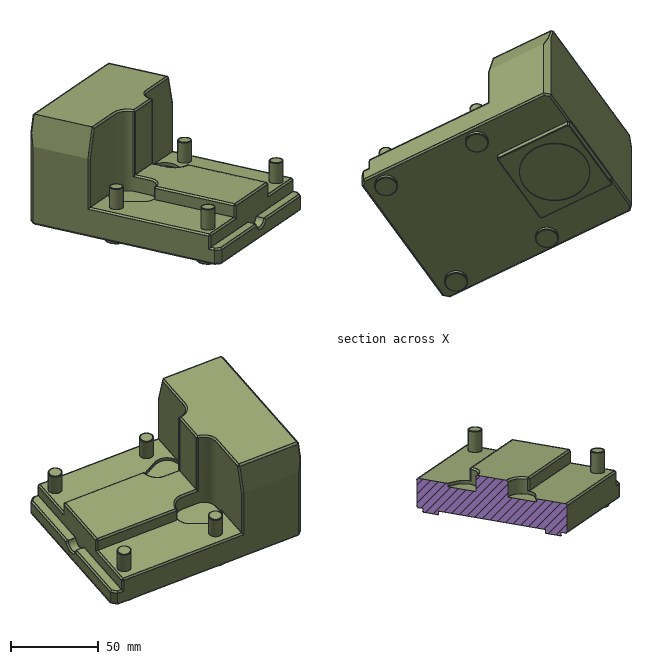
import cadquery as cq
import math

length = 125.0
width = 96.0
body_height = 66.0
edge_chamfer = 1.0
corner_chamfer = 3.0

wall_x = 40.0
nose_x = 48.0
shelf_end_x = 119.0
ledge_z = 10.0
shelf_z = 18.0
land_z = 26.0
land_width = 38.0

shoulder_height = 18.0
shoulder_angle = 15.0

pocket_radius = 8.0
pocket_inner_y = 10.4
pocket_straight = 9.5
pocket_offset = 5.1
pocket_depth = 2.0

groove_diameter = 10.0
groove_centre_z = 11.4

pin_xs = (52.5, 112.5)
pin_y = 39.0
pin_diameter = 8.0
pin_height = 12.8
pin_tip_chamfer = 0.4
foot_diameter = 13.0
foot_height = 2.2
foot_chamfer = 0.4

plate_start_x = 0.5
plate_width = 49.0
plate_thickness = 3.5
plate_corner_chamfer = 0.9
plate_edge_chamfer = 0.4
key_width = 45.8
key_height = 1.8
disc_diameter = 40.0
disc_height = 0.5

half_width = width / 2
shoulder_inset = shoulder_height * math.tan(math.radians(shoulder_angle))
tolerance = 0.01


def block(x_start, x_end, y_size, z_start, z_end):
    """Box between the given X and Z limits, centred on Y = 0."""
    size = (x_end - x_start, y_size, z_end - z_start)
    return cq.Workplane("XY").box(*size, centered=(False, True, False)).translate((x_start, 0, z_start))


def stepped_body():
    """Tall block with its nose, the raised land, the shelf and the front ledge."""
    body = block(0, length, width, 0, ledge_z)
    body = body.union(block(0, shelf_end_x, width, 0, shelf_z))
    body = body.union(block(0, shelf_end_x, land_width, 0, land_z))
    body = body.union(block(0, wall_x, width, 0, body_height))
    return body.union(block(0, nose_x, land_width, 0, body_height))


def shoulder_cut(side):
    """Wedge that slopes the top of the block on one side (+1 or -1)."""
    return (
        cq.Workplane("YZ")
        .moveTo(side * half_width, body_height - shoulder_height)
        .lineTo(side * half_width, body_height)
        .lineTo(side * (half_width - shoulder_inset), body_height)
        .close()
        .extrude(nose_x)
    )


def pocket(side, z_start, z_end):
    """Relief prism: outline tangent to three equal circles, beside the nose on one side (+1 or -1)."""
    r = pocket_radius
    near_x = wall_x + r
    far_x = near_x + pocket_straight
    inner_y = pocket_inner_y + r
    outer_y = inner_y + pocket_offset
    slope = math.atan2(pocket_offset, pocket_straight)

    def on_circle(x, y, angle):
        return (x + r * math.cos(angle), side * (y + r * math.sin(angle)))

    slant = math.pi / 2 - slope
    middle_of_far_arc = (slant - math.pi / 2) / 2
    middle_of_outer_arc = (slant + math.pi) / 2
    return (
        cq.Workplane("XY", origin=(0, 0, z_start))
        .moveTo(near_x, side * pocket_inner_y)
        .lineTo(far_x, side * pocket_inner_y)
        .threePointArc(on_circle(far_x, inner_y, middle_of_far_arc), on_circle(far_x, inner_y, slant))
        .lineTo(*on_circle(near_x, outer_y, slant))
        .threePointArc(on_circle(near_x, outer_y, middle_of_outer_arc), (wall_x, side * outer_y))
        .lineTo(wall_x, side * inner_y)
        .threePointArc(on_circle(near_x, inner_y, 1.25 * math.pi), (near_x, side * pocket_inner_y))
        .close()
        .extrude(z_end - z_start)
    )


def groove_cut():
    """Round groove that runs along X over the ledge."""
    return (
        cq.Workplane("YZ", origin=(shelf_end_x, 0, groove_centre_z))
        .circle(groove_diameter / 2)
        .extrude(length - shelf_end_x)
    )


def is_at(value, target):
    return abs(value - target) < tolerance


def is_bottom_rim(x, y, z):
    return is_at(z, 0)


def is_block_rim(x, y, z):
    """Top edges of the block, without the ridge of the -Y shoulder, and its two sloping rear edges."""
    ridge_y = half_width - shoulder_inset
    on_ridge = is_at(y, -ridge_y) and x < wall_x - tolerance
    on_slope = is_at(x, 0) and z > body_height - shoulder_height and not is_at(z, body_height)
    on_top = is_at(z, body_height) and not on_ridge
    return on_slope or on_top


def is_side_step(x, y, z):
    """Edges of the wall, the shelf and its end along the two sides, and the shelf's front edge."""
    on_side = is_at(abs(y), half_width)
    on_wall = is_at(x, wall_x) and abs(y) > half_width - shoulder_inset and z > shelf_z + tolerance
    on_shelf = is_at(z, shelf_z) and (on_side or is_at(x, shelf_end_x))
    on_shelf_end = is_at(x, shelf_end_x) and on_side
    return on_wall or on_shelf or on_shelf_end


def is_land_rim(x, y, z):
    """Top edges of the land and its upright corners at the front and beside the pockets."""
    on_top = is_at(z, land_z) and x > nose_x + tolerance
    on_corner = is_at(abs(y), land_width / 2) and shelf_z + tolerance < z < land_z - tolerance
    return on_top or on_corner


def is_ledge_rim(x, y, z):
    """Outer edges of the ledge, and the front edge of its groove."""
    on_outline = abs(y) > half_width - corner_chamfer or is_at(x, length)
    on_top = is_at(z, ledge_z) and x > shelf_end_x + tolerance and on_outline
    on_groove = is_at(x, length) and is_at(y, 0) and z > tolerance
    return on_top or on_groove


def is_chamfered(edge):
    """True for the edges of the body that carry the small chamfer, judged by their middle."""
    middle = edge.Center().toTuple()
    rules = (is_bottom_rim, is_block_rim, is_side_step, is_land_rim, is_ledge_rim)
    return any(rule(*middle) for rule in rules)


def nose_corner_cut(side):
    """Flared prism that bevels one upright corner of the nose and mitres into the bevel of the land."""
    run = pocket_straight / 2
    rise = body_height - land_z + edge_chamfer
    flare = (
        cq.Workplane("XZ", origin=(nose_x, pocket_inner_y - edge_chamfer, land_z))
        .rect(run, rise, centered=False)
        .workplane(offset=-edge_chamfer)
        .center(-edge_chamfer, -edge_chamfer)
        .rect(run + edge_chamfer, rise + edge_chamfer, centered=False)
        .loft(ruled=True)
    )
    return flare if side > 0 else flare.mirror("XZ")


def pin_and_foot(x, y):
    """Guide pin on the shelf and the round foot under it."""
    pin = (
        cq.Workplane("XY", origin=(x, y, shelf_z))
        .circle(pin_diameter / 2)
        .extrude(pin_height)
        .faces(">Z")
        .chamfer(pin_tip_chamfer)
    )
    foot = (
        cq.Workplane("XY", origin=(x, y, 0))
        .circle(foot_diameter / 2)
        .extrude(-foot_height)
        .faces("<Z")
        .chamfer(foot_chamfer)
    )
    return pin, foot


def base_plate():
    """Plate with bevelled corners, the key above it and the thin disc below it."""
    plate = block(plate_start_x, nose_x, plate_width, -plate_thickness, 0)
    plate = plate.edges("|Z").chamfer(plate_corner_chamfer)
    plate = plate.faces("<Z").chamfer(plate_edge_chamfer)
    key = block(plate_start_x, nose_x, key_width, 0, key_height)
    disc = (
        cq.Workplane("XY", origin=((plate_start_x + nose_x) / 2, 0, -plate_thickness))
        .circle(disc_diameter / 2)
        .extrude(-disc_height)
    )
    return plate.union(key).union(disc)


body = stepped_body()
for side in (1, -1):
    body = body.cut(pocket(side, shelf_z, body_height))
    body = body.cut(shoulder_cut(side))
body = body.edges("(<X or >X) and |Z").chamfer(corner_chamfer)
body = body.cut(groove_cut())

body = body.newObject([edge for edge in body.edges().vals() if is_chamfered(edge)]).chamfer(edge_chamfer)
for side in (1, -1):
    body = body.cut(nose_corner_cut(side))

for side in (1, -1):
    body = body.cut(pocket(side, shelf_z - pocket_depth, shelf_z))
body = body.cut(block(0, plate_start_x, key_width, 0, key_height))

result = body.union(base_plate())
for x in pin_xs:
    for y in (pin_y, -pin_y):
        pin, foot = pin_and_foot(x, y)
        result = result.union(pin).union(foot)